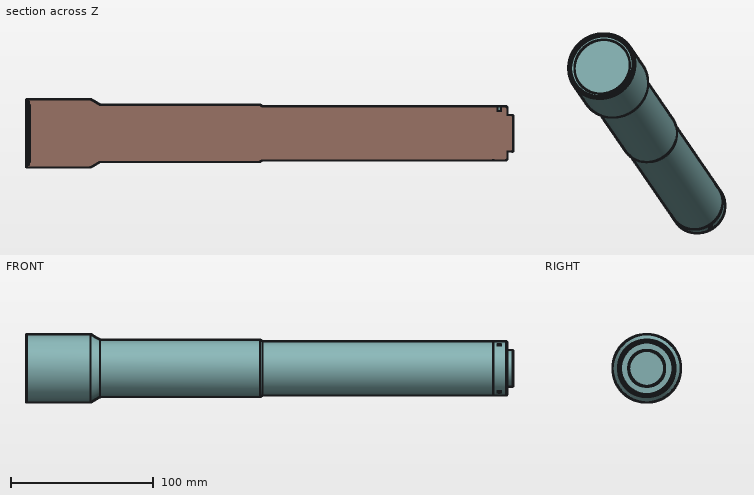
import cadquery as cq
import math

total_length = 341.0
head_end = 45.0
flare_start = 46.0
flare_end = 51.8
front_tube_end = 163.5
step_end = 165.5
collar_start = 327.0
collar_end = 337.0

head_radius = 24.05
flare_radius = 23.5
front_tube_radius = 20.0
rear_tube_radius = 19.0
spigot_radius = 13.0

head_chamfer = 0.5
collar_chamfer = 1.0
spigot_chamfer = 0.7
joint_depth = 0.17
joint_width = 0.5

window_radius = 19.8
rim_bore_radius = 22.0
rim_bore_depth = 1.7
window_depth = 2.5

screw_count = 3
screw_station = 331.0
screw_diameter = 2.5
screw_depth = 3.5

origin_x = -total_length / 2


def revolve_profile(points):
    """Revolve a closed (station, radius) outline around the X axis."""
    profile = cq.Workplane("XY").polyline(points).close()
    return profile.revolve(360, (0, 0, 0), (1, 0, 0))


body = revolve_profile([
    (0, 0),
    (0, head_radius - head_chamfer),
    (head_chamfer, head_radius),
    (head_end, head_radius),
    (flare_start, flare_radius),
    (flare_end, front_tube_radius),
    (front_tube_end, front_tube_radius),
    (step_end, rear_tube_radius),
    (collar_start - joint_width, rear_tube_radius),
    (collar_start - joint_width, rear_tube_radius - joint_depth),
    (collar_start, rear_tube_radius - joint_depth),
    (collar_start, rear_tube_radius),
    (collar_end - collar_chamfer, rear_tube_radius),
    (collar_end, rear_tube_radius - collar_chamfer),
    (collar_end, spigot_radius),
    (total_length - spigot_chamfer, spigot_radius),
    (total_length, spigot_radius - spigot_chamfer),
    (total_length, 0),
])

recess = revolve_profile([
    (0, 0),
    (0, rim_bore_radius),
    (rim_bore_depth, rim_bore_radius),
    (rim_bore_depth, window_radius),
    (window_depth, window_radius),
    (window_depth, 0),
])
body = body.cut(recess)

for index in range(screw_count):
    angle = math.radians(index * 360 / screw_count)
    outward = cq.Vector(0, math.cos(angle), math.sin(angle))
    mouth = cq.Vector(screw_station, 0, 0) + outward * rear_tube_radius
    hole = cq.Solid.makeCylinder(
        screw_diameter / 2, 2 * screw_depth, mouth - outward * screw_depth, outward
    )
    body = body.cut(hole)

result = body.translate((origin_x, 0, 0))